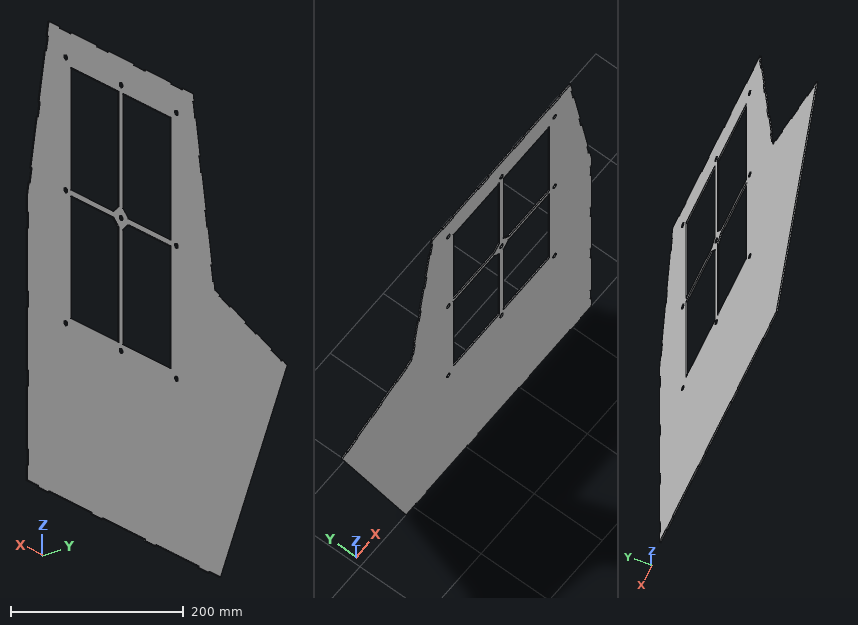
import cadquery as cq
import math

sheet = 2.0
overall_width = 469.5
overall_height = 602.0

bottom_width = 349.0
top_width = 260.5
top_right_inset = 39.0
upper_right_height = 238.0
knee_x = 130.5
knee_drop = 236.5
tip_drop = 286.5

bottom_z = sheet
top_z = overall_height
top_right_x = overall_width - top_right_inset
bottom_left = (overall_width - bottom_width, bottom_z)
bottom_right = (overall_width, bottom_z)
right_bend = (overall_width, top_z - upper_right_height)
top_right = (top_right_x, top_z)
top_left = (top_right_x - top_width, top_z)
knee = (knee_x, top_z - knee_drop)
left_tip = (0, top_z - tip_drop)

finger_width = 20.0
wide_margin = finger_width
narrow_margin = finger_width / 2

window_width = 180.0
window_height = 320.0
window_centre_drop = 205.0
bar_width = 8.0
hub_half_diagonal = 17.5
window_x = top_right_x - top_width / 2
window_z = top_z - window_centre_drop

hole_diameter = 6.0
hole_pitch_x = 100.0
hole_pitch_z = 170.0


def jointed_edge(start, end, count, margin, outward):
    """Points from start up to, not including, end, with evenly spaced fingers.

    The outline runs counter-clockwise, so a positive outward gives tabs and a negative one notches.
    """
    dx = end[0] - start[0]
    dz = end[1] - start[1]
    length = math.hypot(dx, dz)
    along = (dx / length, dz / length)
    normal = (along[1], -along[0])
    pitch = (length - 2 * margin - finger_width) / (count - 1)

    def at(distance, offset):
        return (
            start[0] + along[0] * distance + normal[0] * offset,
            start[1] + along[1] * distance + normal[1] * offset,
        )

    points = [start]
    for i in range(count):
        near = margin + i * pitch
        far = near + finger_width
        points += [at(near, 0), at(near, outward), at(far, outward), at(far, 0)]
    return points


def door_panel():
    outline = (
        jointed_edge(bottom_left, bottom_right, 4, wide_margin, sheet)
        + jointed_edge(bottom_right, right_bend, 4, wide_margin, -sheet)
        + jointed_edge(right_bend, top_right, 3, wide_margin, -sheet)
        + jointed_edge(top_right, top_left, 4, wide_margin, -sheet)
        + jointed_edge(top_left, knee, 4, narrow_margin, -sheet)
        + jointed_edge(knee, left_tip, 3, narrow_margin, -sheet)
        + [left_tip]
    )
    return cq.Workplane("XZ").polyline(outline).close().extrude(sheet)


def window_plane():
    return cq.Workplane("XZ", origin=(window_x, 0, window_z))


def window_opening():
    """The four panes: the full window less the crossed bars and the diamond hub."""
    opening = window_plane().rect(window_width, window_height).extrude(sheet)
    upright = window_plane().rect(bar_width, window_height).extrude(sheet)
    crossbar = window_plane().rect(window_width, bar_width).extrude(sheet)
    hub = window_plane().polygon(4, 2 * hub_half_diagonal).extrude(sheet)
    return opening.cut(upright).cut(crossbar).cut(hub)


def screw_holes():
    return (
        window_plane()
        .rarray(hole_pitch_x, hole_pitch_z, 3, 3)
        .circle(hole_diameter / 2)
        .extrude(sheet)
    )


result = door_panel().cut(window_opening()).cut(screw_holes())